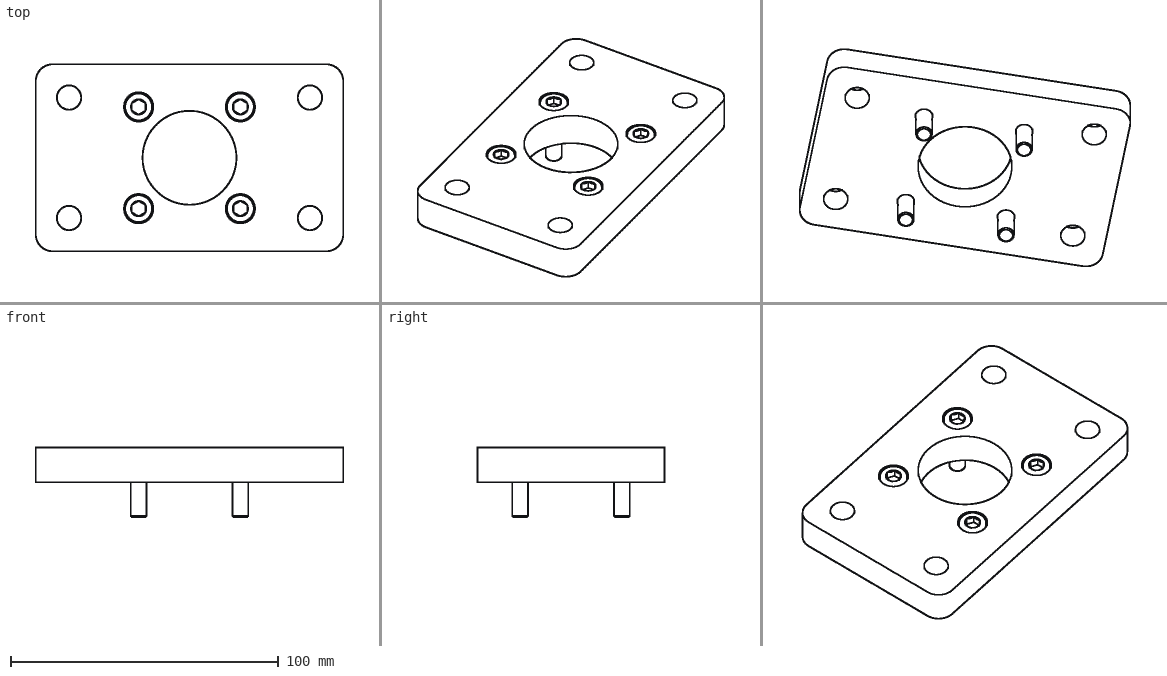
import cadquery as cq
import math

PLATE_LENGTH = 115.0
PLATE_WIDTH = 70.0
PLATE_THICKNESS = 13.0
PLATE_CORNER_RADIUS = 6.5
BORE_DIAMETER = 35.0
MOUNT_HOLE_DIAMETER = 9.0
MOUNT_SPACING_X = 90.0
MOUNT_SPACING_Y = 45.0

SCREW_SPACING = 38.0
THREAD_DIAMETER = 6.0
SHANK_LENGTH = 20.0
TIP_CHAMFER = 0.5
HEAD_DIAMETER = 10.0
HEAD_HEIGHT = THREAD_DIAMETER
HEAD_EDGE_RADIUS = 0.3
SOCKET_FLATS = 5.0
SOCKET_DEPTH = 3.0
SOCKET_CORNERS = SOCKET_FLATS / math.cos(math.radians(30))
SOCKET_LEAD_IN = (SOCKET_CORNERS - SOCKET_FLATS) / 2

CLEARANCE_DIAMETER = 6.4
COUNTERBORE_DIAMETER = 11.0
COUNTERBORE_DEPTH = HEAD_HEIGHT
SEAT_HEIGHT = PLATE_THICKNESS - COUNTERBORE_DEPTH


def rectangle_corners(spacing_x, spacing_y):
    """Four points at the corners of a rectangle centred on the origin."""
    return [(sx * spacing_x / 2, sy * spacing_y / 2) for sx in (-1, 1) for sy in (-1, 1)]


SCREW_POINTS = rectangle_corners(SCREW_SPACING, SCREW_SPACING)
MOUNT_POINTS = rectangle_corners(MOUNT_SPACING_X, MOUNT_SPACING_Y)


def make_plate():
    """Rounded plate with a central bore, four mounting holes and four counterbored holes."""
    blank = cq.Workplane("XY").box(PLATE_LENGTH, PLATE_WIDTH, PLATE_THICKNESS, centered=(True, True, False))
    rounded = blank.edges("|Z").fillet(PLATE_CORNER_RADIUS)
    top = rounded.faces(">Z").workplane(origin=(0, 0, PLATE_THICKNESS))
    bored = top.hole(BORE_DIAMETER)
    drilled = bored.pushPoints(MOUNT_POINTS).hole(MOUNT_HOLE_DIAMETER)
    return drilled.pushPoints(SCREW_POINTS).cboreHole(
        CLEARANCE_DIAMETER, COUNTERBORE_DIAMETER, COUNTERBORE_DEPTH
    )


def make_socket():
    """Hexagonal socket with corners along Y and a conical lead-in, opening at the head top."""
    hexagon = (
        cq.Workplane("XY", origin=(0, 0, HEAD_HEIGHT - SOCKET_DEPTH))
        .transformed(rotate=(0, 0, 90))
        .polygon(6, SOCKET_CORNERS)
        .extrude(SOCKET_DEPTH)
    )
    lead_in = (
        cq.Workplane("XY", origin=(0, 0, HEAD_HEIGHT))
        .circle(SOCKET_CORNERS / 2)
        .workplane(offset=-SOCKET_LEAD_IN)
        .circle(SOCKET_FLATS / 2)
        .loft(ruled=True)
    )
    return hexagon.union(lead_in)


def make_screw():
    """Socket head cap screw along Z with the underside of its head at Z = 0."""
    head = cq.Workplane("XY").circle(HEAD_DIAMETER / 2).extrude(HEAD_HEIGHT)
    head = head.faces(">Z").edges().fillet(HEAD_EDGE_RADIUS)
    shank = cq.Workplane("XY").circle(THREAD_DIAMETER / 2).extrude(-SHANK_LENGTH)
    shank = shank.faces("<Z").edges().chamfer(TIP_CHAMFER)
    return head.union(shank).cut(make_socket())


plate = make_plate()
screw = make_screw()
screws = [screw.translate((x, y, SEAT_HEIGHT)) for x, y in SCREW_POINTS]

result = cq.Compound.makeCompound([plate.val(), *[placed.val() for placed in screws]])